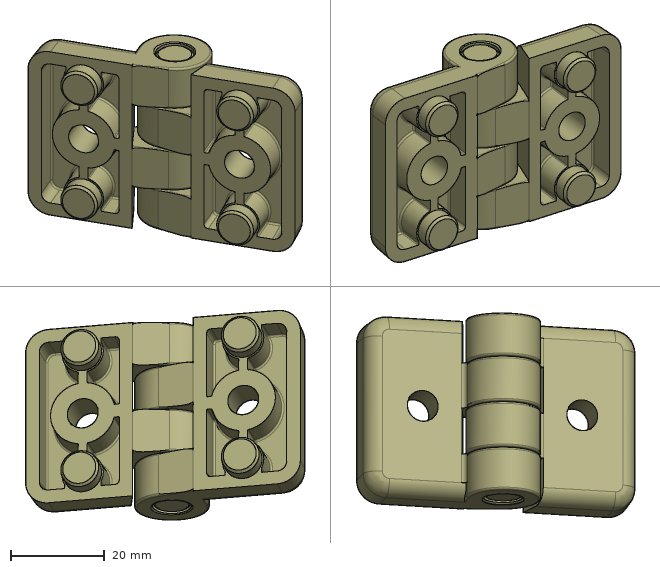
import cadquery as cq
import math

length = 60.0
width = 40.0
axis_height = 9.05
barrel_radius = 8.0
draft = 2.0

plate_thickness = 8.5
corner_radius = 5.0
edge_radius = 3.4
inner_edge = 6.6
wall_top = 8.95

slot_width = width / 4
gap = 0.05
knuckle_rounding = 0.5
root_radius = 1.0

boss_x = -17.5
peg_offset = 14.0
screw_radius = 3.35
screw_boss_radius = 7.0
peg_boss_radius = 4.5
peg_web_width = 7.9
rib_width = 2.0
side_web_width = 2.95
pocket_left = -27.0
pocket_right = -9.55
pocket_half_height = 17.05
pocket_depth = 6.0
pocket_draft = 2.0
pocket_outer_corner = 2.05
pocket_inner_corner = 0.95
floor_rounding = 0.4
corner_rounding = 0.25

peg_radius = 4.15
peg_length = 3.5
peg_chamfer = 0.55
pin_radius = 4.15
pin_recess = 0.6
hole_chamfer = 0.35

half_width = width / 2
draft_angle = math.radians(draft)
mount_plane = cq.Plane((0, 0, 0), (1, 0, 0), (0, 1, 0))
barrel_end = half_width - axis_height * math.tan(draft_angle)

underside_angle = math.atan2(axis_height, inner_edge) - math.asin(
    barrel_radius / math.hypot(inner_edge, axis_height)
)


def span(x0, x1, y0, y1, z0, z1):
    """Box between two opposite corners."""
    return cq.Workplane("XY").box(x1 - x0, y1 - y0, z1 - z0, centered=False).translate((x0, y0, z0))


def drafted_envelope():
    """Block with drafted ends that bounds plate and barrel along the hinge axis."""
    height = axis_height + 2 * barrel_radius
    return cq.Workplane(mount_plane).rect(2 * length, width).extrude(height, taper=draft)


def plate():
    """Drafted plate with round corners and a round top edge, cut square at the inner edge."""
    block = (
        cq.Workplane(mount_plane)
        .rect(length, width)
        .extrude(plate_thickness, taper=draft)
        .edges("not(|X or |Z)")
        .fillet(corner_radius)
        .faces(">Y")
        .edges()
        .fillet(edge_radius)
    )
    return block.intersect(span(-length, -inner_edge, 0, plate_thickness, -width, width))


def clearance(z0, z1):
    """Space for the other leaf's knuckle, bounded by the slanted inner wall."""
    return (
        cq.Workplane("XY", origin=(0, 0, z0))
        .moveTo(-inner_edge, 0)
        .lineTo(-wall_top, plate_thickness)
        .lineTo(0, plate_thickness)
        .lineTo(0, 0)
        .close()
        .extrude(z1 - z0)
    )


def barrel_point(angle):
    """Point on the barrel, at an angle measured from straight down towards +X."""
    return barrel_radius * math.sin(angle), axis_height - barrel_radius * math.cos(angle)


def below_knuckle():
    """Space below the knuckles' straight underside."""
    slope = math.tan(underside_angle)
    return (
        cq.Workplane("XY")
        .moveTo(-inner_edge, 0)
        .lineTo(inner_edge, 2 * inner_edge * slope)
        .lineTo(inner_edge, -inner_edge)
        .lineTo(-2 * inner_edge, -inner_edge)
        .lineTo(-2 * inner_edge, 0)
        .close()
        .extrude(width, both=True)
    )


def knuckle(z0, z1):
    """Barrel with a straight underside. The end rounding follows a line that drops below
    the underside towards the plate, so it fades out there."""
    touch_x, touch_y = barrel_point(underside_angle)
    fade_slope = (touch_y + knuckle_rounding) / (touch_x + inner_edge)
    fade_start = touch_y - fade_slope * (touch_x + barrel_radius)
    return (
        cq.Workplane("XY", origin=(0, 0, z0))
        .moveTo(-barrel_radius, fade_start)
        .lineTo(-barrel_radius, axis_height)
        .threePointArc(barrel_point(math.pi * 3 / 4), (touch_x, touch_y))
        .close()
        .extrude(z1 - z0)
        .intersect(drafted_envelope())
        .edges("not(|Z)")
        .fillet(knuckle_rounding)
        .cut(below_knuckle())
    )


def root_section(z):
    """Section of the concave fillet between the plate's top and the barrel."""
    reach = barrel_radius + root_radius
    centre_y = plate_thickness + root_radius
    rise = centre_y - axis_height
    centre_x = -math.sqrt(reach**2 - rise**2)
    touch = (centre_x * barrel_radius / reach, axis_height + rise * barrel_radius / reach)
    middle = math.atan2(touch[1] - centre_y, touch[0] - centre_x) / 2 - math.pi / 4
    return (
        cq.Workplane("XY", origin=(0, 0, z))
        .moveTo(centre_x, plate_thickness)
        .threePointArc(
            (centre_x + root_radius * math.cos(middle), centre_y + root_radius * math.sin(middle)),
            touch,
        )
        .lineTo(-inner_edge, touch[1])
        .lineTo(-inner_edge, plate_thickness)
        .close()
    )


def end_root(z0):
    """Concave fillet of the end knuckle, along the plate's flat top up to its round edge."""
    turn_y = plate_thickness - edge_radius
    turn_z = half_width - turn_y * math.tan(draft_angle) - edge_radius / math.cos(draft_angle)
    straight = root_section(z0).extrude(turn_z - z0)
    bend = root_section(turn_z).revolve(90, (0, turn_y, 0), (-1, turn_y, 0))
    return straight.union(bend).intersect(drafted_envelope())


def mount_rect(x0, x1, z0, z1):
    """Rectangle on the mounting face."""
    centre = ((x0 + x1) / 2, -(z0 + z1) / 2)
    return cq.Workplane(mount_plane).center(*centre).rect(x1 - x0, z1 - z0)


def mount_circle(z, radius):
    """Circle on the mounting face, on the line through the bosses."""
    return cq.Workplane(mount_plane).center(boss_x, -z).circle(radius)


def raise_island(outline):
    """Island from the mounting face down to the pocket's floor, where it is wider."""
    return outline.extrude(pocket_depth, taper=-pocket_draft)


def islands():
    """Screw boss, peg bosses, and the ribs and webs that tie them to the pocket's walls."""
    half_rib = rib_width / 2
    half_peg_web = peg_web_width / 2
    half_side_web = side_web_width / 2
    body = raise_island(mount_circle(0, screw_boss_radius))
    body = body.union(raise_island(mount_rect(boss_x - half_rib, boss_x + half_rib, -peg_offset, peg_offset)))
    body = body.union(raise_island(mount_rect(boss_x, 0, -half_side_web, half_side_web)))
    for side in (-1, 1):
        web = mount_rect(
            boss_x - half_peg_web,
            boss_x + half_peg_web,
            *sorted((side * peg_offset, side * half_width)),
        )
        body = body.union(raise_island(mount_circle(side * peg_offset, peg_boss_radius)))
        body = body.union(raise_island(web))
    return body


def is_island_corner(edge):
    """True for a full-depth edge where an island, rib, web or wall meets another."""
    centre = edge.Center()
    full_depth = edge.BoundingBox().ylen > pocket_depth / 2
    near_pegs = abs(centre.x - boss_x) < peg_boss_radius
    between_pegs = abs(centre.z) < peg_offset
    return full_depth and (near_pegs or between_pegs)


def rounded_cell(cell):
    """One cell of the pocket with rounded upright corners and a rounded floor."""
    return (
        cq.Workplane(cell)
        .edges()
        .filter(is_island_corner)
        .fillet(corner_rounding)
        .faces(">Y")
        .edges()
        .fillet(floor_rounding)
    )


def pocket_cells():
    """Cells of the drafted pocket in the mounting face that the islands leave open."""
    space = mount_rect(pocket_left, pocket_right, -pocket_half_height, pocket_half_height)
    space = space.extrude(pocket_depth, taper=pocket_draft)
    for wall, radius in (("<X", pocket_outer_corner), (">X", pocket_inner_corner)):
        space = space.faces(wall).edges("not |Z").fillet(radius)
    cells = space.cut(islands()).solids().vals()
    return [rounded_cell(cell) for cell in cells]


def pin_hole():
    """Hole through the barrels with a chamfered mouth at each drafted end."""
    centre = (0, axis_height)
    hole = cq.Workplane("XY").center(*centre).circle(pin_radius).extrude(half_width, both=True)
    mouth_radius = pin_radius + hole_chamfer
    for side in (-1, 1):
        mouth = (
            cq.Workplane("XY", origin=(*centre, side * (barrel_end - hole_chamfer)))
            .circle(pin_radius)
            .workplane(offset=side * hole_chamfer)
            .circle(mouth_radius)
            .loft()
        )
        rim = (
            cq.Workplane("XY", origin=(*centre, side * barrel_end))
            .circle(mouth_radius)
            .extrude(side * hole_chamfer)
        )
        hole = hole.union(mouth).union(rim)
    return hole


def leaf():
    """Left leaf: plate, two knuckles, pin hole, screw hole and pocketed mounting face."""
    end_knuckle = slot_width + gap
    inner_knuckle = -slot_width + gap
    body = plate()
    body = body.cut(clearance(-gap, end_knuckle)).cut(clearance(-width, inner_knuckle))
    body = body.union(knuckle(end_knuckle, half_width)).union(knuckle(inner_knuckle, -gap))
    body = body.union(end_root(end_knuckle))
    body = body.union(root_section(inner_knuckle).extrude(-gap - inner_knuckle))
    for cell in pocket_cells():
        body = body.cut(cell)
    body = body.cut(mount_circle(0, screw_radius).extrude(plate_thickness))
    return body.cut(pin_hole())


def pin():
    """Hinge pin with chamfered ends, slightly short of both barrel ends."""
    return (
        cq.Workplane("XY", origin=(0, axis_height, 0))
        .circle(pin_radius)
        .extrude(barrel_end - pin_recess, both=True)
        .faces("<Z or >Z")
        .chamfer(peg_chamfer)
    )


def peg(x, z):
    """Locating peg that stands on a peg boss."""
    return (
        cq.Workplane("XZ", origin=(x, 0, z))
        .circle(peg_radius)
        .extrude(peg_length)
        .faces("<Y")
        .chamfer(peg_chamfer)
    )


left_leaf = leaf()
right_leaf = left_leaf.rotate((0, 0, 0), (0, 1, 0), 180)
hinge_pin = pin()
pegs = [peg(x, z) for x in (boss_x, -boss_x) for z in (-peg_offset, peg_offset)]

result = cq.Compound.makeCompound(
    [left_leaf.val(), right_leaf.val(), hinge_pin.val(), *[item.val() for item in pegs]]
)